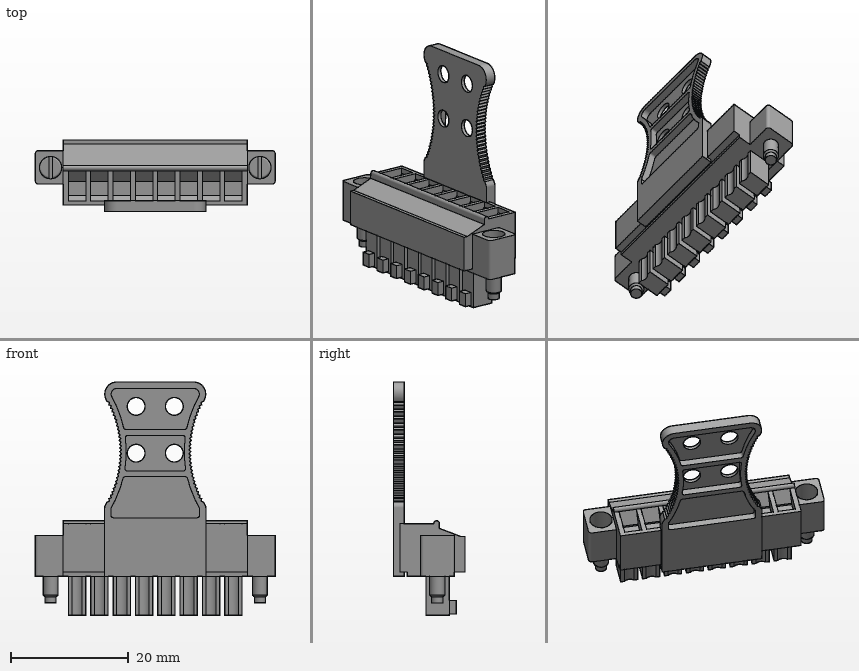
import cadquery as cq
import math


overall_length = 40.85
housing_length = 31.35
housing_front = 1.1
housing_rear = 12.2
housing_top = 9.0
lower_edge = 0.75
base_front = 2.35
base_rear = 10.4
rear_wall_top = 6.8
ramp_rear = 11.53
ramp_front_height = 8.17
rib_radius = 0.5
rib_y = 7.35

ear_front = 4.65
ear_height = 7.0
ear_corner_radius = 0.55
ear_overlap = 0.4

contact_count = 8
contact_pitch = 3.8
contact_width = 3.0
entry_front = 1.85
entry_floor_front = 2.7
entry_floor_rear = 5.15
entry_floor_height = 6.8
entry_front_ramp_top = 8.05
entry_rear_ramp_bottom = 7.1
prong_front = 5.5
prong_rear = 9.52
prong_length = 6.65
prong_groove_width = 1.7
prong_groove_depth = 0.33
key_width = 1.65
key_rear = 10.7
key_bottom = -6.4
key_top = -4.1

screw_x = 17.8
screw_y = 7.48
head_diameter = 3.8
head_seat = 1.65
head_top = 3.25
head_fillet = 0.33
slot_width = 0.6
slot_depth = 0.5
shank_diameter = 2.57
shank_end = -3.2
tip_diameter = 1.92
tip_end = -4.55

handle_width = 17.3
handle_top = 33.1
handle_thickness = 1.9
handle_corner_radius = 2.1
shoulder_radius = 1.0
waist_width = 12.1
waist_height = 21.2
waist_radius = 18.0
tooth_count = 28
tooth_depth = 0.3
serrated_half_angle = math.radians(28.4)
pocket_wall = 1.1
pocket_depth = 1.23
pocket_corner_radius = 0.4
selection_margin = 0.05
top_pocket_bottom = 25.0
middle_pocket = (17.95, 24.0)
lower_pocket = (9.97, 16.95)
grip_hole_diameter = 3.0
grip_hole_spacing = 6.5
grip_hole_heights = (20.95, 28.95)

contact_positions = [(i - (contact_count - 1) / 2) * contact_pitch for i in range(contact_count)]


def block(x_range, y_range, z_range):
    """Rectangular block between the given limits."""
    size = [high - low for low, high in (x_range, y_range, z_range)]
    corner = cq.Vector(x_range[0], y_range[0], z_range[0])
    return cq.Workplane(cq.Solid.makeBox(*size, corner))


def housing_body():
    """Main block: a constant section with a rear ramp and a half-round rib on top."""
    rib_rear = rib_y + rib_radius
    rib_front = rib_y - rib_radius
    section = (
        cq.Workplane("YZ")
        .moveTo(base_front, 0)
        .lineTo(base_rear, 0)
        .lineTo(base_rear, lower_edge)
        .lineTo(housing_rear, lower_edge)
        .lineTo(housing_rear, rear_wall_top)
        .lineTo(ramp_rear, rear_wall_top)
        .lineTo(rib_rear, ramp_front_height)
        .lineTo(rib_rear, housing_top)
        .threePointArc((rib_y, housing_top + rib_radius), (rib_front, housing_top))
        .lineTo(housing_front, housing_top)
        .lineTo(housing_front, lower_edge)
        .lineTo(base_front, lower_edge)
        .close()
    )
    return section.extrude(housing_length / 2, both=True)


def ear(side):
    """Screw ear at one end of the housing (side = -1 or 1), rounded on its outer corners."""
    inner = side * (housing_length / 2 - ear_overlap)
    outer = side * overall_length / 2
    x_range = sorted((inner, outer))
    body = block(x_range, (ear_front, base_rear), (0, ear_height))
    return body.edges("|Z").edges(">X" if side > 0 else "<X").fillet(ear_corner_radius)


def screw_hole(side):
    """Clearance for one screw: a shank hole with a wider counterbore for the head."""
    centre = (side * screw_x, screw_y)
    shank_hole = cq.Workplane("XY").center(*centre).circle(shank_diameter / 2).extrude(head_seat)
    counterbore = (
        cq.Workplane("XY", origin=(0, 0, head_seat))
        .center(*centre)
        .circle(head_diameter / 2)
        .extrude(ear_height - head_seat)
    )
    return shank_hole.union(counterbore)


def wire_entry(x):
    """Funnel cut into the top of the housing at one contact position."""
    return (
        cq.Workplane("YZ", origin=(x, 0, 0))
        .moveTo(entry_front, housing_top)
        .lineTo(entry_front, entry_front_ramp_top)
        .lineTo(entry_floor_front, entry_floor_height)
        .lineTo(entry_floor_rear, entry_floor_height)
        .lineTo(entry_floor_rear, entry_rear_ramp_bottom)
        .lineTo(rib_y - rib_radius, housing_top)
        .close()
        .extrude(contact_width / 2, both=True)
    )


def prong(x):
    """Plug prong below the housing, with a round groove in front and a key at the rear."""
    body_x = (x - contact_width / 2, x + contact_width / 2)
    key_x = (x - key_width / 2, x + key_width / 2)
    body = block(body_x, (prong_front, prong_rear), (-prong_length, lower_edge))
    key = block(key_x, (prong_rear, key_rear), (key_bottom, key_top))
    groove = (
        cq.Workplane("XY", origin=(0, 0, -prong_length))
        .moveTo(x - prong_groove_width / 2, prong_front)
        .threePointArc((x, prong_front + prong_groove_depth), (x + prong_groove_width / 2, prong_front))
        .close()
        .extrude(prong_length)
    )
    return body.union(key).cut(groove)


def make_housing():
    housing = housing_body()
    for side in (-1, 1):
        housing = housing.union(ear(side)).cut(screw_hole(side))
    for x in contact_positions:
        housing = housing.cut(wire_entry(x)).union(prong(x))
    return housing


def make_screw(side):
    """Slotted cheese-head screw with a narrower plain tip."""
    tip_start = shank_end - (shank_diameter - tip_diameter) / 2
    head_radius = head_diameter / 2
    half_section = [
        (0, tip_end),
        (tip_diameter / 2, tip_end),
        (tip_diameter / 2, tip_start),
        (shank_diameter / 2, shank_end),
        (shank_diameter / 2, head_seat),
        (head_radius, head_seat),
        (head_radius, head_top),
        (0, head_top),
    ]
    body = cq.Workplane("XZ").polyline(half_section).close().revolve(360, (0, 0), (0, 1))
    body = body.faces(">Z").edges().fillet(head_fillet)
    slot = block(
        (-slot_width / 2, slot_width / 2), (-head_radius, head_radius), (head_top - slot_depth, head_top)
    )
    return body.cut(slot).translate((side * screw_x, screw_y, 0))


def waist_point(angle, depth=0.0):
    """Point on the right-hand waist arc, sunk into the handle by depth."""
    radius = waist_radius + depth
    centre_x = waist_width / 2 + waist_radius
    return (centre_x - radius * math.cos(angle), waist_height + radius * math.sin(angle))


def blend_angle(blend_radius, rise):
    """Waist angle at which a round of the given radius, its centre rise above the waist, is tangent."""
    return math.asin(rise / (waist_radius + blend_radius))


def handle_outline(serrated):
    """Closed handle outline, its waist either serrated or smooth."""
    half_width = handle_width / 2
    centre_x = waist_width / 2 + waist_radius

    corner_z = handle_top - handle_corner_radius
    corner_angle = blend_angle(handle_corner_radius, corner_z - waist_height)
    corner_x = centre_x - (waist_radius + handle_corner_radius) * math.cos(corner_angle)
    corner_mid_angle = (math.pi / 2 - corner_angle) / 2
    corner_middle = (
        corner_x + handle_corner_radius * math.cos(corner_mid_angle),
        corner_z + handle_corner_radius * math.sin(corner_mid_angle),
    )

    shoulder_x = half_width - shoulder_radius
    shoulder_angle = math.acos((centre_x - shoulder_x) / (waist_radius + shoulder_radius))
    shoulder_z = waist_height - (waist_radius + shoulder_radius) * math.sin(shoulder_angle)
    shoulder_middle = (
        shoulder_x + shoulder_radius * math.cos(shoulder_angle / 2),
        shoulder_z + shoulder_radius * math.sin(shoulder_angle / 2),
    )

    half = (
        cq.Workplane("XZ")
        .moveTo(0, handle_top)
        .lineTo(corner_x, handle_top)
        .threePointArc(corner_middle, waist_point(corner_angle))
    )
    if serrated:
        half = serrated_waist(half, corner_angle, -shoulder_angle)
    else:
        half = half.threePointArc(waist_point(0), waist_point(-shoulder_angle))
    half = (
        half.threePointArc(shoulder_middle, (half_width, shoulder_z))
        .lineTo(half_width, 0)
        .lineTo(0, 0)
    )
    return half.mirrorY()


def serrated_waist(path, start_angle, end_angle):
    """Continue the path down the waist: plain arc, row of pointed teeth, plain arc."""
    first = serrated_half_angle
    pitch = 2 * serrated_half_angle / tooth_count
    path = path.threePointArc(waist_point((start_angle + first) / 2), waist_point(first))
    for i in range(tooth_count):
        path = path.lineTo(*waist_point(first - (i + 0.5) * pitch, tooth_depth))
        path = path.lineTo(*waist_point(first - (i + 1) * pitch))
    return path.threePointArc(waist_point((end_angle - first) / 2), waist_point(end_angle))


def handle_pocket(bottom, top, rounded_heights):
    """Front pocket between two heights, inset evenly from the handle outline."""
    inset = handle_outline(serrated=False).offset2D(-pocket_wall).extrude(-pocket_depth)
    band = block((-handle_width, handle_width), (0, pocket_depth), (bottom, top))
    pocket = inset.intersect(band)
    for height in rounded_heights:
        corners = cq.selectors.BoxSelector(
            (-handle_width, 0, height - selection_margin),
            (handle_width, pocket_depth, height + selection_margin),
        )
        pocket = pocket.edges("|Y").edges(corners).fillet(pocket_corner_radius)
    return pocket


def make_handle():
    """Strain relief handle that clips over the front wall of the housing."""
    handle = handle_outline(serrated=True).extrude(-handle_thickness)
    clip_recess = block(
        (-handle_width, handle_width), (housing_front, handle_thickness), (lower_edge, housing_top)
    )
    grip_holes = (
        cq.Workplane("XZ")
        .pushPoints([(side * grip_hole_spacing / 2, z) for side in (-1, 1) for z in grip_hole_heights])
        .circle(grip_hole_diameter / 2)
        .extrude(-handle_thickness)
    )
    handle = handle.cut(clip_recess).cut(grip_holes)
    handle = handle.cut(handle_pocket(top_pocket_bottom, handle_top, [top_pocket_bottom]))
    for bottom, top in (middle_pocket, lower_pocket):
        handle = handle.cut(handle_pocket(bottom, top, [bottom, top]))
    return handle


housing = make_housing()
screws = [make_screw(side) for side in (-1, 1)]
handle = make_handle()

result = cq.Compound.makeCompound([housing.val(), *[screw.val() for screw in screws], handle.val()])